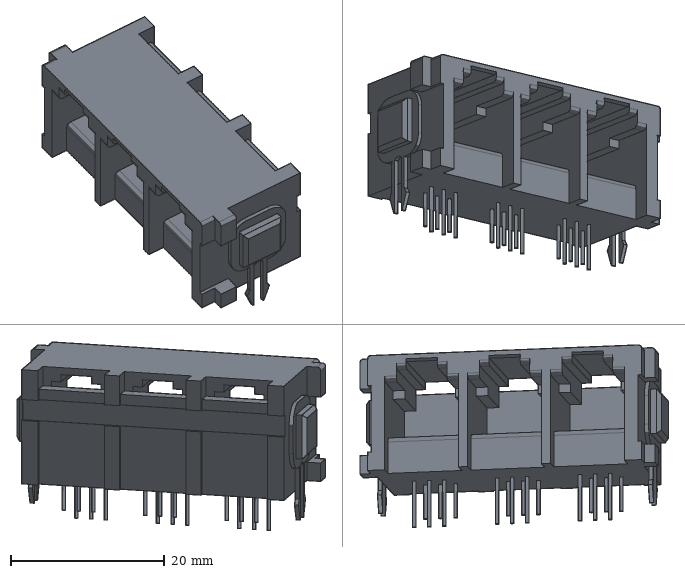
import cadquery as cq
import math


overall_width = 39.2
body_width = 35.45
body_depth = 16.0
body_height = 15.33
port_count = 3
port_pitch = 11.0

frame_width = 36.38
frame_depth = 2.05
frame_fillet = 0.45
ear_depth = 2.45
ear_fillet = 0.47
upper_pad_bottom = 11.33
lower_pad_top = 2.45

port_width = 9.8
port_ceiling = 11.75
latch_width = 6.7
latch_ceiling = 13.4
lip_radius = 0.7
top_step_width = 4.15
top_step_ceiling = 14.4
top_step_bevel = 0.3
shoulder_front = 5.88
shoulder_bottom = 10.62

block_front = 2.3
block_height = 4.85
block_fillet = 0.65

rear_recess_width = 9.0
rear_recess_depth = 0.47
rear_notch_depth = 2.45
rear_wall_top = 12.75
rear_wall_front = body_depth - rear_notch_depth

groove_depth = 0.5
groove_bottom = 8.5
groove_top = upper_pad_bottom

pin_diameter = 0.47
pins_per_port = 6
long_pin_pitch = 2.0
pin_pitch = long_pin_pitch / 2
long_pin_length = 6.1
long_pin_y = 7.9
short_pin_length = 4.5
short_pin_y = 10.5

clip_thickness = 0.55
clip_center_y = 8.95
clip_width = 8.7
clip_bottom = 3.18
clip_top = 12.05
clip_corner_radius = 2.5
clip_slot_width = 1.4
clip_slot_top = 3.53
leg_width = 0.63
leg_tip_width = 0.2
leg_bottom = -4.05
barb_reach = 0.45
barb_top = -1.1
barb_peak = -1.8

button_width = 6.08
button_bottom = 4.7
button_top = 10.62
button_chamfer = 0.5


def box(x_range, y_range, z_range):
    """Axis-aligned box between the given pairs of limits."""
    (x0, x1), (y0, y1), (z0, z1) = x_range, y_range, z_range
    return cq.Workplane("XY").box(x1 - x0, y1 - y0, z1 - z0, centered=False).translate((x0, y0, z0))


def centered_box(width, y_range, z_range):
    """Box of the given width, centred on X = 0."""
    half = width / 2
    return box((-half, half), y_range, z_range)


def make_side_pads(width, y_range, top_fillet):
    """Upper and lower pads that widen the housing on both sides."""
    upper = centered_box(width, y_range, (upper_pad_bottom, body_height))
    upper = upper.edges("|Y and >Z").fillet(top_fillet)
    lower = centered_box(width, y_range, (0, lower_pad_top))
    return upper.union(lower)


def make_housing():
    body = centered_box(body_width, (0, body_depth), (0, body_height))
    ear_back = frame_depth + ear_depth
    body = body.union(make_side_pads(frame_width, (0, frame_depth), frame_fillet))
    body = body.union(make_side_pads(overall_width, (frame_depth, ear_back), ear_fillet))
    groove_front = body_depth - groove_depth
    return body.cut(centered_box(body_width, (groove_front, body_depth), (groove_bottom, groove_top)))


def make_rounded_step(width, ceiling):
    """Space under one ceiling step, flaring upward at the front around a rounded lip."""
    arc_offset = lip_radius * (1 - math.sqrt(0.5))
    return (
        cq.Workplane("YZ")
        .moveTo(0, 0)
        .lineTo(0, ceiling + lip_radius)
        .threePointArc((arc_offset, ceiling + arc_offset), (lip_radius, ceiling))
        .lineTo(rear_wall_front, ceiling)
        .lineTo(rear_wall_front, 0)
        .close()
        .extrude(width / 2, both=True)
    )


def make_top_step():
    """Space under the highest ceiling step, with a bevelled front edge."""
    outline = [
        (0, 0),
        (0, top_step_ceiling + top_step_bevel),
        (top_step_bevel, top_step_ceiling),
        (rear_wall_front, top_step_ceiling),
        (rear_wall_front, 0),
    ]
    return cq.Workplane("YZ").polyline(outline).close().extrude(top_step_width / 2, both=True)


def make_port_cavity():
    """Everything removed for one port, centred on X = 0."""
    cavity = make_rounded_step(port_width, port_ceiling)
    cavity = cavity.union(make_rounded_step(latch_width, latch_ceiling))
    cavity = cavity.union(make_top_step())

    shoulder_y = (shoulder_front, rear_wall_front)
    shoulder_z = (shoulder_bottom, port_ceiling)
    shoulders = centered_box(port_width, shoulder_y, shoulder_z)
    shoulders = shoulders.cut(centered_box(latch_width, shoulder_y, shoulder_z))
    cavity = cavity.cut(shoulders)

    block = centered_box(port_width, (block_front, rear_wall_front), (0, block_height))
    block = block.edges("|X and <Y and >Z").fillet(block_fillet)
    cavity = cavity.cut(block)

    recess_front = body_depth - rear_recess_depth
    recess = centered_box(rear_recess_width, (recess_front, body_depth), (0, body_height))
    notch = centered_box(rear_recess_width, (rear_wall_front, body_depth), (rear_wall_top, body_height))
    return cavity.union(recess).union(notch)


def make_pins():
    """Two staggered rows of pins for one port, centred on X = 0."""
    pins = cq.Workplane("XY")
    for index in range(pins_per_port):
        x = (index - (pins_per_port - 1) / 2) * pin_pitch
        is_long = index % 2 == 0
        y = long_pin_y if is_long else short_pin_y
        length = long_pin_length if is_long else short_pin_length
        pin = cq.Workplane("XY").center(x, y).circle(pin_diameter / 2).extrude(-length)
        pins = pins.add(pin)
    return pins


def make_leg(side):
    """Barbed snap leg of a clip; side is +1 toward the back and -1 toward the front."""
    inner = clip_slot_width / 2
    outer = inner + leg_width
    outline = [
        (inner, clip_slot_top),
        (outer, clip_slot_top),
        (outer, barb_top),
        (outer + barb_reach, barb_peak),
        (inner + leg_tip_width, leg_bottom),
        (inner, leg_bottom),
    ]
    points = [(clip_center_y + side * offset, z) for offset, z in outline]
    return cq.Workplane("YZ").polyline(points).close().extrude(clip_thickness)


def make_clip():
    """Clip and button for the +X side of the housing."""
    y_range = (clip_center_y - clip_width / 2, clip_center_y + clip_width / 2)
    plate = box((0, clip_thickness), y_range, (clip_bottom, clip_top))
    plate = plate.edges("|X").fillet(clip_corner_radius)
    plate = plate.union(make_leg(1)).union(make_leg(-1))

    slot_radius = clip_slot_width / 2
    slot = (
        cq.Workplane("YZ")
        .moveTo(clip_center_y - slot_radius, leg_bottom)
        .lineTo(clip_center_y - slot_radius, clip_slot_top - slot_radius)
        .threePointArc(
            (clip_center_y, clip_slot_top),
            (clip_center_y + slot_radius, clip_slot_top - slot_radius),
        )
        .lineTo(clip_center_y + slot_radius, leg_bottom)
        .close()
        .extrude(clip_thickness)
    )
    plate = plate.cut(slot)

    button_reach = (overall_width - body_width) / 2
    button_y = (clip_center_y - button_width / 2, clip_center_y + button_width / 2)
    button = box((0, button_reach), button_y, (button_bottom, button_top))
    button = button.faces(">X").chamfer(button_chamfer)
    return plate.union(button).translate((body_width / 2, 0, 0))


result = make_housing()

cavity = make_port_cavity()
pins = make_pins()
for port in range(port_count):
    port_x = (port - (port_count - 1) / 2) * port_pitch
    result = result.cut(cavity.translate((port_x, 0, 0)))
    for pin in pins.vals():
        result = result.union(cq.Workplane(pin).translate((port_x, 0, 0)))

clip = make_clip()
result = result.union(clip).union(clip.mirror("YZ"))